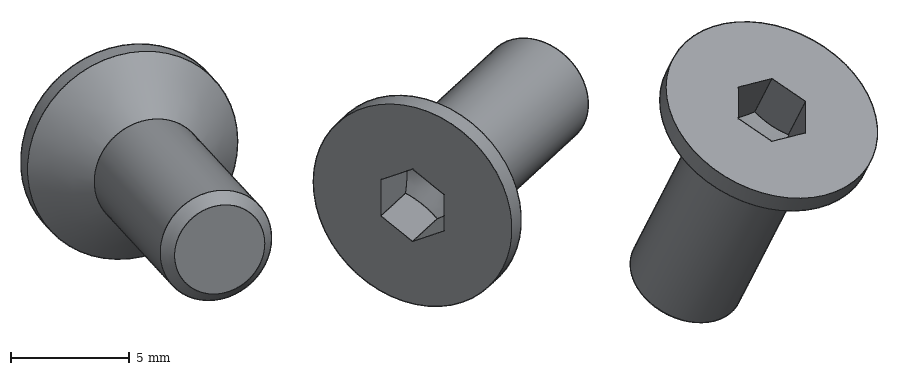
import cadquery as cq
import math

length = 12.0
head_diameter = 9.43
shank_diameter = 5.0
rim_thickness = 0.89
tip_chamfer = 0.48

socket_across_flats = 3.0
socket_depth = 2.3
drill_point_angle = 120.0

head_radius = head_diameter / 2
shank_radius = shank_diameter / 2
head_height = rim_thickness + head_radius - shank_radius
socket_corner_radius = socket_across_flats / math.sqrt(3)
drill_point_height = socket_corner_radius / math.tan(math.radians(drill_point_angle / 2))


def make_body():
    """Revolve the half profile of the screw about the X axis."""
    return (
        cq.Workplane("XY")
        .lineTo(0, head_radius)
        .lineTo(rim_thickness, head_radius)
        .lineTo(head_height, shank_radius)
        .lineTo(length - tip_chamfer, shank_radius)
        .lineTo(length, shank_radius - tip_chamfer)
        .lineTo(length, 0)
        .close()
        .revolve(360, (0, 0, 0), (1, 0, 0))
    )


def make_socket():
    """Hexagonal prism, corners up and down, trimmed by a conical bottom."""
    total_depth = socket_depth + drill_point_height
    prism = (
        cq.Workplane("YZ")
        .polygon(6, 2 * socket_corner_radius)
        .extrude(total_depth)
        .rotate((0, 0, 0), (1, 0, 0), 90)
    )
    drill = (
        cq.Workplane("XY")
        .lineTo(0, socket_corner_radius)
        .lineTo(socket_depth, socket_corner_radius)
        .lineTo(total_depth, 0)
        .close()
        .revolve(360, (0, 0, 0), (1, 0, 0))
    )
    return prism.intersect(drill)


result = make_body().cut(make_socket())